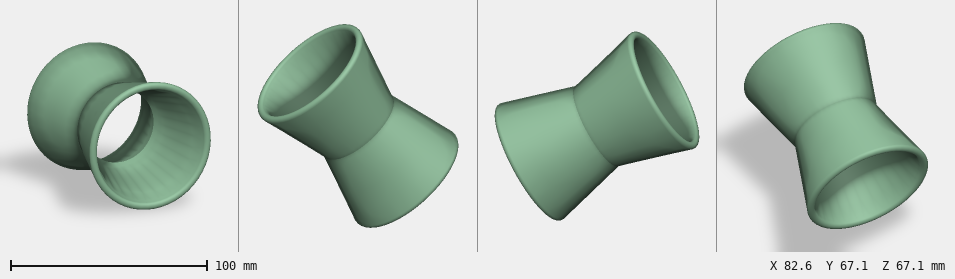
import cadquery as cq
import math

length = 82.6
rim_outer_diameter = 67.1
waist_outer_radius = 23.1
wall_thickness = 3.8

bead_radius = wall_thickness / 2
bead_x = length / 2 - bead_radius
bead_center_radius = rim_outer_diameter / 2 - bead_radius

waist_to_bead_rise = bead_center_radius - waist_outer_radius
waist_to_bead = math.hypot(bead_x, waist_to_bead_rise)
flare_angle = math.atan2(waist_to_bead_rise, bead_x) + math.asin(bead_radius / waist_to_bead)
waist_inner_radius = waist_outer_radius - wall_thickness / math.cos(flare_angle)

normal_x = bead_radius * math.sin(flare_angle)
normal_z = bead_radius * math.cos(flare_angle)
outer_tangent = (bead_x - normal_x, bead_center_radius + normal_z)
inner_tangent = (bead_x + normal_x, bead_center_radius - normal_z)
bead_tip = (
    bead_x + bead_radius * math.cos(flare_angle),
    bead_center_radius + bead_radius * math.sin(flare_angle),
)


def mirrored(point):
    """Return the matching point on the other side of the waist."""
    return (-point[0], point[1])


wall_section = (
    cq.Workplane("XZ")
    .moveTo(0, waist_outer_radius)
    .lineTo(*outer_tangent)
    .threePointArc(bead_tip, inner_tangent)
    .lineTo(0, waist_inner_radius)
    .lineTo(*mirrored(inner_tangent))
    .threePointArc(mirrored(bead_tip), mirrored(outer_tangent))
    .close()
)

result = wall_section.revolve(360, (0, 0, 0), (1, 0, 0))